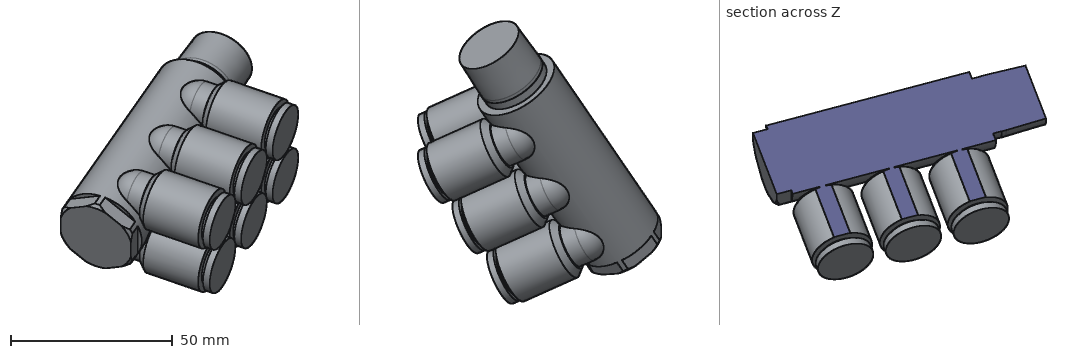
import cadquery as cq
import math

body_radius = 13.5
body_length = 66.0

head_sides = 6
head_length = 4.75
head_across_flats = 24.2
head_chamfer = 1.0

stub_length = 17.25
stub_collar_diameter = 21.7
stub_collar_length = 2.7
stub_land_diameter = 21.8
stub_land_length = 1.35
thread_taper = 1 / 16

ports_per_row = 3
port_pitch = 22.0
first_port_y = 9.9
port_row_z = 9.4

dome_radius = 7.05
dome_center_x = 6.75
socket_start_x = 11.65
socket_chamfer_end_x = 13.9
socket_start_radius = 7.75
socket_radius = 9.77
socket_end_x = 32.8
neck_radius = 14.5 / 2
flange_radius = 18.0 / 2
flange_start_x = 34.1
port_end_x = 36.4


def make_body():
    return cq.Workplane("XZ").circle(body_radius).extrude(-body_length)


def make_head():
    """Hexagon with flats facing +X and -X, turned down to the body diameter and chamfered."""
    half_side_angle = 180 / head_sides
    corner_to_corner = head_across_flats / math.cos(math.radians(half_side_angle))
    hexagon = (
        cq.Workplane("XZ")
        .transformed(rotate=(0, 0, half_side_angle))
        .polygon(head_sides, corner_to_corner)
        .extrude(head_length)
    )
    turned = (
        cq.Workplane("XZ")
        .circle(body_radius)
        .extrude(head_length)
        .faces("<Y")
        .chamfer(head_chamfer)
    )
    return hexagon.intersect(turned)


def make_stub():
    """Collar, slightly wider land and tapered thread, revolved about the body axis."""
    collar_radius = stub_collar_diameter / 2
    land_radius = stub_land_diameter / 2
    collar_end_y = body_length + stub_collar_length
    land_end_y = collar_end_y + stub_land_length
    end_y = body_length + stub_length
    end_radius = land_radius - (end_y - land_end_y) * thread_taper / 2
    return (
        cq.Workplane("XY")
        .moveTo(0, body_length)
        .lineTo(collar_radius, body_length)
        .lineTo(collar_radius, collar_end_y)
        .lineTo(land_radius, collar_end_y)
        .lineTo(land_radius, land_end_y)
        .lineTo(end_radius, end_y)
        .lineTo(0, end_y)
        .close()
        .revolve(360, (0, 0, 0), (0, 1, 0))
    )


def make_port():
    """Domed root, chamfered socket, neck and release flange, revolved about the X axis."""
    arc_offset = dome_radius * math.sqrt(0.5)
    return (
        cq.Workplane("XY")
        .moveTo(dome_center_x - dome_radius, 0)
        .threePointArc(
            (dome_center_x - arc_offset, arc_offset),
            (dome_center_x, dome_radius),
        )
        .lineTo(socket_start_x, dome_radius)
        .lineTo(socket_start_x, socket_start_radius)
        .lineTo(socket_chamfer_end_x, socket_radius)
        .lineTo(socket_end_x, socket_radius)
        .lineTo(socket_end_x, neck_radius)
        .lineTo(flange_start_x, neck_radius)
        .lineTo(flange_start_x, flange_radius)
        .lineTo(port_end_x, flange_radius)
        .lineTo(port_end_x, 0)
        .close()
        .revolve(360, (0, 0, 0), (1, 0, 0))
    )


def add_ports(base):
    """Fuse a row of ports above the body axis and a matching row below it."""
    port = make_port()
    for index in range(ports_per_row):
        port_y = first_port_y + index * port_pitch
        for port_z in (port_row_z, -port_row_z):
            base = base.union(port.translate((0, port_y, port_z)))
    return base


manifold = make_body().union(make_head()).union(make_stub())
result = add_ports(manifold)